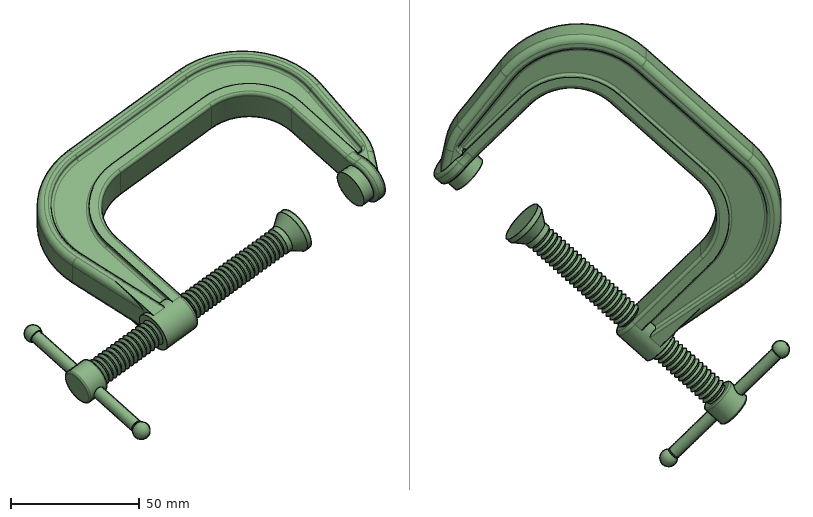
import cadquery as cq
import math


BACK_X = -84.4
FRAME_TOP = 166.5
FRAME_BOTTOM = 35.0
HALF_THICKNESS = 8.0
OUTER_STRAIGHT_TOP = 128.5
OUTER_STRAIGHT_BOTTOM = 70.9
BACK_MIDDLE_Y = (OUTER_STRAIGHT_TOP + OUTER_STRAIGHT_BOTTOM) / 2
TOP_SLOPE = math.radians(7)
BOTTOM_SLOPE = math.radians(10)
NOSE_START_X = -13.6
NOSE_RADIUS = 25.0
NOSE_SLOPE = math.radians(32)
INNER_X = -62.1
INNER_TOP = 148.5
INNER_BOTTOM = 56.6
INNER_RADIUS = 22.1
LOWER_ARM_END_X = -1.7
OUTER_FILLET = 2.8
INNER_FILLET = 1.3

POCKET_DEPTH = 2.3
OUTER_RIB = 5.5
INNER_RIB = 5.0
POCKET_END_X = -7.2
POCKET_CORNER = 1.3
POCKET_FILLET = 1.08

JAW_RADIUS = 9.7
JAW_HEIGHT = 5.3
JAW_FILLET = 1.3
JAW_NECK_RADIUS = 13.3
ANVIL_RADIUS = 7.8
ANVIL_HEIGHT = 5.0

BOSS_RADIUS = 8.2
BOSS_HEIGHT = 16.6
BLOCK_HEIGHT = 15.0
BLOCK_LENGTH = 23.3
BLOCK_END_X = -1.3

HEAD_RADIUS = 7.3
HEAD_LENGTH = 9.5
HEAD_FILLET = 0.7
THREAD_LENGTH = 93.9
THREAD_COUNT = 43
THREAD_PITCH = THREAD_LENGTH / THREAD_COUNT
CREST_RADIUS = 5.7
ROOT_RADIUS = 4.7
THREAD_START = 10.5
SCREW_END = 107.9

PAD_RADIUS = 9.0
PAD_RIM = 2.2
PAD_TOP = 114.9

BAR_RADIUS = 2.5
BAR_HALF_LENGTH = 29.1
BALL_RADIUS = 3.5
LEFT_BALL_DISTANCE = 1.8
RIGHT_BALL_DISTANCE = 3.0


def polar(center, radius, angle):
    """Point on a circle, with the angle measured from +Y towards +X."""
    return center[0] + radius * math.sin(angle), center[1] + radius * math.cos(angle)


def add_outer_side(sketch, inset, end_x):
    """Add the outer side, moved into the plate by `inset`, from `end_x` on the lower arm round the back.

    Returns the sketch and its last point, where the upper arc meets the slope of the upper arm.
    """
    lower_radius = OUTER_STRAIGHT_BOTTOM - FRAME_BOTTOM
    upper_radius = FRAME_TOP - OUTER_STRAIGHT_TOP
    lower_center = (BACK_X + lower_radius, OUTER_STRAIGHT_BOTTOM)
    upper_center = (BACK_X + upper_radius, OUTER_STRAIGHT_TOP)
    lower_r = lower_radius - inset
    upper_r = upper_radius - inset

    lower_tangent = polar(lower_center, lower_r, math.pi - BOTTOM_SLOPE)
    lower_middle = polar(lower_center, lower_r, (3 * math.pi / 2 + math.pi - BOTTOM_SLOPE) / 2)
    upper_middle = polar(upper_center, upper_r, (TOP_SLOPE - math.pi / 2) / 2)
    upper_tangent = polar(upper_center, upper_r, TOP_SLOPE)
    end_y = lower_tangent[1] + (end_x - lower_tangent[0]) * math.tan(BOTTOM_SLOPE)
    return (
        sketch.lineTo(end_x, end_y)
        .lineTo(*lower_tangent)
        .threePointArc(lower_middle, (BACK_X + inset, OUTER_STRAIGHT_BOTTOM))
        .lineTo(BACK_X + inset, OUTER_STRAIGHT_TOP)
        .threePointArc(upper_middle, upper_tangent)
    ), upper_tangent


def add_inner_side(sketch, offset):
    """Add the inner side, moved into the plate by `offset`, from the upper to the lower arm, and close."""
    radius = INNER_RADIUS + offset
    center_x = INNER_X + INNER_RADIUS
    upper_center = (center_x, INNER_TOP - INNER_RADIUS)
    lower_center = (center_x, INNER_BOTTOM + INNER_RADIUS)
    return (
        sketch.lineTo(center_x, INNER_TOP + offset)
        .threePointArc(polar(upper_center, radius, -math.pi / 4), (INNER_X - offset, upper_center[1]))
        .lineTo(INNER_X - offset, lower_center[1])
        .threePointArc(polar(lower_center, radius, -3 * math.pi / 4), (center_x, INNER_BOTTOM - offset))
        .close()
    )


def make_plate():
    """C-shaped plate whose upper arm bends down to the jaw in a nose."""
    sketch = cq.Workplane("XY", origin=(0, 0, -HALF_THICKNESS)).moveTo(LOWER_ARM_END_X, INNER_BOTTOM)
    sketch, tangent = add_outer_side(sketch, 0, LOWER_ARM_END_X)

    nose_start = (NOSE_START_X, tangent[1] - (NOSE_START_X - tangent[0]) * math.tan(TOP_SLOPE))
    nose_center = polar(nose_start, -NOSE_RADIUS, TOP_SLOPE)
    nose_end = polar(nose_center, NOSE_RADIUS, NOSE_SLOPE)
    tip_y = INNER_TOP + JAW_HEIGHT
    tip_x = nose_end[0] + (nose_end[1] - tip_y) / math.tan(NOSE_SLOPE)
    sketch = (
        sketch.lineTo(*nose_start)
        .threePointArc(polar(nose_center, NOSE_RADIUS, (TOP_SLOPE + NOSE_SLOPE) / 2), nose_end)
        .lineTo(tip_x, tip_y)
        .lineTo(tip_x, INNER_TOP)
    )
    plate = add_inner_side(sketch, 0).extrude(2 * HALF_THICKNESS)

    for x, radius in ((BACK_X, OUTER_FILLET), (INNER_X, INNER_FILLET)):
        for z in (-HALF_THICKNESS, HALF_THICKNESS):
            plate = plate.edges(cq.NearestToPointSelector((x, BACK_MIDDLE_Y, z))).fillet(radius)
    return plate


def make_block():
    """Block between the lower arm and the boss, with its inner edges rounded like the plate."""
    return (
        cq.Workplane("XY")
        .box(BLOCK_LENGTH, BLOCK_HEIGHT, 2 * HALF_THICKNESS)
        .translate((-BLOCK_LENGTH / 2 + BLOCK_END_X, INNER_BOTTOM - BLOCK_HEIGHT / 2, 0))
        .edges(">Y and |X")
        .fillet(INNER_FILLET)
    )


def make_pocket():
    """Pocket tool for the upper face of the plate, with a rounded floor."""
    floor_z = HALF_THICKNESS - POCKET_DEPTH
    sketch = cq.Workplane("XY", origin=(0, 0, floor_z)).moveTo(0, INNER_BOTTOM - INNER_RIB)
    sketch, tangent = add_outer_side(sketch, OUTER_RIB, 0)
    end_y = tangent[1] - (POCKET_END_X - tangent[0]) * math.tan(TOP_SLOPE)
    sketch = sketch.lineTo(POCKET_END_X, end_y).lineTo(POCKET_END_X, INNER_TOP + INNER_RIB)
    pocket = add_inner_side(sketch, INNER_RIB).extrude(POCKET_DEPTH)
    end_corner = cq.NearestToPointSelector((POCKET_END_X, end_y, HALF_THICKNESS - POCKET_DEPTH / 2))
    pocket = pocket.edges("|Z").edges(end_corner).fillet(POCKET_CORNER)
    return pocket.faces("<Z").edges().fillet(POCKET_FILLET)


def cylinder_y(radius, start_y, length):
    """Cylinder on the screw axis, from `start_y` towards +Y."""
    return cq.Workplane("XZ", origin=(0, start_y, 0)).circle(radius).extrude(-length)


def make_fixed_jaw():
    """Disc blended into the plate by concave necks, and the anvil under it."""
    neck_z = HALF_THICKNESS + JAW_NECK_RADIUS
    center_distance = JAW_RADIUS + JAW_NECK_RADIUS
    neck_x = -math.sqrt(center_distance**2 - neck_z**2)
    tangent_x = neck_x * JAW_RADIUS / center_distance
    tangent_z = neck_z * JAW_RADIUS / center_distance
    half_turn = math.atan2(-neck_x, neck_z) / 2
    middle_x = neck_x + JAW_NECK_RADIUS * math.sin(half_turn)
    middle_z = neck_z - JAW_NECK_RADIUS * math.cos(half_turn)
    disc = (
        cq.Workplane("XZ", origin=(0, INNER_TOP, 0))
        .moveTo(neck_x, -HALF_THICKNESS)
        .threePointArc((middle_x, -middle_z), (tangent_x, -tangent_z))
        .threePointArc((JAW_RADIUS, 0), (tangent_x, tangent_z))
        .threePointArc((middle_x, middle_z), (neck_x, HALF_THICKNESS))
        .close()
        .extrude(-JAW_HEIGHT)
        .edges(">X and (not |Y)")
        .fillet(JAW_FILLET)
    )
    return disc.union(cylinder_y(ANVIL_RADIUS, INNER_TOP - ANVIL_HEIGHT, ANVIL_HEIGHT + JAW_HEIGHT / 2))


def make_boss():
    """Round boss around the screw."""
    boss = cylinder_y(BOSS_RADIUS, INNER_BOTTOM - BOSS_HEIGHT, BOSS_HEIGHT)
    return boss.edges(">Y").fillet(INNER_FILLET)


def make_frame(screw):
    """Plate, block, boss and fixed jaw in one body, with a threaded hole that fits the screw."""
    frame = make_plate().union(make_block())
    pocket = make_pocket()
    frame = frame.cut(pocket).cut(pocket.mirror("XY"))
    for z in (-HALF_THICKNESS, HALF_THICKNESS):
        outer_rim = cq.NearestToPointSelector((BACK_X + OUTER_RIB, BACK_MIDDLE_Y, z))
        frame = frame.edges(outer_rim).fillet(POCKET_FILLET)
    frame = frame.union(make_boss()).union(make_fixed_jaw())
    return frame.cut(screw)


def make_screw():
    """Screw with ring-shaped V threads and a cross-drilled head."""
    profile = cq.Workplane("XY").moveTo(0, HEAD_LENGTH / 2).lineTo(ROOT_RADIUS, HEAD_LENGTH / 2)
    for i in range(THREAD_COUNT):
        root_y = THREAD_START + i * THREAD_PITCH
        profile = profile.lineTo(ROOT_RADIUS, root_y).lineTo(CREST_RADIUS, root_y + THREAD_PITCH / 2)
    thread_end = THREAD_START + THREAD_LENGTH
    shaft = (
        profile.lineTo(ROOT_RADIUS, thread_end)
        .lineTo(CREST_RADIUS, thread_end + THREAD_PITCH / 2)
        .lineTo(CREST_RADIUS, SCREW_END)
        .lineTo(0, SCREW_END)
        .close()
        .revolve(360, (0, 0), (0, 1))
    )
    head = cylinder_y(HEAD_RADIUS, 0, HEAD_LENGTH).edges().fillet(HEAD_FILLET)
    return head.union(shaft).cut(make_bar())


def make_pad():
    """Cone that widens from the screw tip to a flat round rim."""
    return (
        cq.Workplane("XY")
        .moveTo(0, SCREW_END)
        .lineTo(CREST_RADIUS, SCREW_END)
        .lineTo(PAD_RADIUS, PAD_TOP - PAD_RIM)
        .lineTo(PAD_RADIUS, PAD_TOP)
        .lineTo(0, PAD_TOP)
        .close()
        .revolve(360, (0, 0), (0, 1))
    )


def make_bar():
    """Handle bar through the middle of the screw head."""
    return (
        cq.Workplane("YZ", origin=(-BAR_HALF_LENGTH, HEAD_LENGTH / 2, 0))
        .circle(BAR_RADIUS)
        .extrude(2 * BAR_HALF_LENGTH)
    )


def make_ball_end(side, distance):
    """Ball with a short neck, cut flat where it meets the bar end at `side` (-1 left, 1 right)."""
    bar_end = cq.Workplane("YZ", origin=(side * BAR_HALF_LENGTH, HEAD_LENGTH / 2, 0))
    neck = bar_end.circle(BAR_RADIUS).extrude(side * distance)
    ball_x = side * (BAR_HALF_LENGTH + distance)
    ball = cq.Workplane("XY").sphere(BALL_RADIUS).translate((ball_x, HEAD_LENGTH / 2, 0))
    bar_side = bar_end.circle(BALL_RADIUS).extrude(-side * BALL_RADIUS)
    return neck.union(ball).cut(bar_side)


screw = make_screw()
frame = make_frame(screw)
pad = make_pad()
bar = make_bar()
ball_ends = [
    make_ball_end(side, distance)
    for side, distance in ((-1, LEFT_BALL_DISTANCE), (1, RIGHT_BALL_DISTANCE))
]

result = cq.Compound.makeCompound(
    [frame.val(), screw.val(), pad.val(), bar.val(), *[ball_end.val() for ball_end in ball_ends]]
)